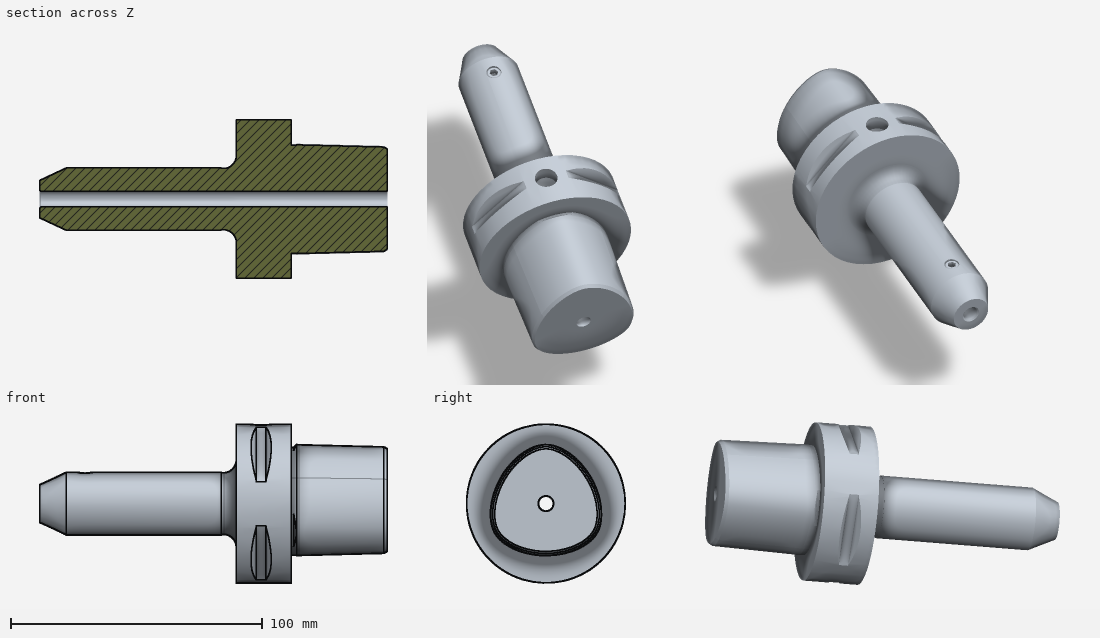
import cadquery as cq
import math

total_length = 138.0
nose_length = 10.6
relief_start = 72.0
shank_end = 78.0
flange_end = 99.9
neck_end = 102.0
taper_start = 102.8

nose_diameter = 15.0
shank_diameter = 25.0
relief_diameter = 24.5
flange_diameter = 63.0
flange_fillet = 5.0

bore_diameter = 6.0
bore_chamfer = 0.5

lobe_count = 3
polygon_radius = 22.1
lobe_height = 1.4
neck_allowance = 0.1
lead_drop = 0.07
taper_per_length = 1 / 40
end_chamfer_length = 1.4
end_chamfer_height = 0.8
lobe_trim_radius = 22.4
lobe_trim_length = 1.0

slot_x = 87.9
slot_count = 4
slot_floor_radius = 27.6
slot_floor_width = 3.7
slot_step_height = 0.5
slot_step_width = 4.1
slot_wall_angle = 30.0

rim_hole_diameter = 9.0
rim_hole_depth = 6.0
rim_hole_point_angle = 118.0

screw_x = 18.0
screw_diameter = 6.0
screw_chamfer = 0.5
screw_recess = 0.4
socket_width = 3.0
socket_depth = 2.5
socket_point_angle = 120.0


def turned_body():
    """Nose cone, shank, relief, fillet and flange, turned about the X axis."""
    shank_radius = shank_diameter / 2
    relief_radius = relief_diameter / 2
    fillet_start = shank_end - flange_fillet
    fillet_diagonal = flange_fillet * math.sqrt(0.5)
    fillet_middle = (
        fillet_start + fillet_diagonal,
        relief_radius + flange_fillet - fillet_diagonal,
    )
    profile = (
        cq.Workplane("XY")
        .moveTo(0, 0)
        .lineTo(0, nose_diameter / 2)
        .lineTo(nose_length, shank_radius)
        .lineTo(relief_start, shank_radius)
        .lineTo(relief_start, relief_radius)
        .lineTo(fillet_start, relief_radius)
        .threePointArc(fillet_middle, (shank_end, relief_radius + flange_fillet))
        .lineTo(shank_end, flange_diameter / 2)
        .lineTo(flange_end, flange_diameter / 2)
        .lineTo(flange_end, 0)
        .close()
    )
    return profile.revolve(360, (0, 0, 0), (1, 0, 0))


def polygon_wire(x, mean_radius):
    """Closed three-lobed outline in the plane at x, one curve per lobe."""

    def outline_point(angle):
        lobe_angle = lobe_count * (angle - math.pi / 2)
        support = mean_radius + lobe_height * math.cos(lobe_angle)
        slope = -lobe_count * lobe_height * math.sin(lobe_angle)
        y = support * math.cos(angle) - slope * math.sin(angle)
        z = support * math.sin(angle) + slope * math.cos(angle)
        return (y, z)

    lobe_span = 2 * math.pi / lobe_count
    outline = cq.Workplane("YZ", origin=(x, 0, 0))
    for lobe in range(lobe_count):
        start = math.pi / 2 + (lobe - 0.5) * lobe_span
        outline = outline.parametricCurve(
            outline_point, start=start, stop=start + lobe_span, makeWire=False
        )
    return outline.wire().val()


def polygon_section(x_start, radius_start, x_end, radius_end):
    """Three-lobed solid with straight sides between two outlines."""
    wires = [polygon_wire(x_start, radius_start), polygon_wire(x_end, radius_end)]
    return cq.Workplane(cq.Solid.makeLoft(wires, True))


def neck():
    """Short three-lobed neck whose lobes are turned down next to the flange."""
    neck_radius = polygon_radius - neck_allowance
    prism = polygon_section(flange_end, neck_radius, neck_end, neck_radius)
    corner = polygon_radius + 2 * lobe_height
    trim_end = flange_end + lobe_trim_length
    ramp_end = trim_end + corner - lobe_trim_radius
    trim = (
        cq.Workplane("XY")
        .moveTo(flange_end, lobe_trim_radius)
        .lineTo(trim_end, lobe_trim_radius)
        .lineTo(ramp_end, corner)
        .lineTo(flange_end, corner)
        .close()
        .revolve(360, (0, 0, 0), (1, 0, 0))
    )
    return prism.cut(trim)


def tapered_shank():
    """Three-lobed taper with a short steeper lead and a bevelled free end."""
    seat_radius = polygon_radius - lead_drop
    bevel_start = total_length - end_chamfer_length
    end_radius = seat_radius - taper_per_length * (bevel_start - taper_start)
    lead = polygon_section(neck_end, polygon_radius, taper_start, seat_radius)
    taper = polygon_section(taper_start, seat_radius, bevel_start, end_radius)
    bevel = polygon_section(
        bevel_start, end_radius, total_length, end_radius - end_chamfer_height
    )
    return lead.union(taper).union(bevel)


def through_bore():
    """Bore along the whole axis, chamfered at the nose."""
    radius = bore_diameter / 2
    return (
        cq.Workplane("XY")
        .moveTo(0, 0)
        .lineTo(0, radius + bore_chamfer)
        .lineTo(bore_chamfer, radius)
        .lineTo(total_length, radius)
        .lineTo(total_length, 0)
        .close()
        .revolve(360, (0, 0, 0), (1, 0, 0))
    )


def gripper_slots():
    """Straight slots across the rim on its diagonals, steep at the floor, then flared."""
    flange_radius = flange_diameter / 2
    step_radius = slot_floor_radius + slot_step_height
    half_floor = slot_floor_width / 2
    half_step = slot_step_width / 2
    flare = (flange_radius - step_radius) * math.tan(math.radians(slot_wall_angle))
    half_mouth = half_step + flare
    cutter = (
        cq.Workplane("XZ")
        .moveTo(slot_x - half_floor, slot_floor_radius)
        .lineTo(slot_x + half_floor, slot_floor_radius)
        .lineTo(slot_x + half_step, step_radius)
        .lineTo(slot_x + half_mouth, flange_radius)
        .lineTo(slot_x - half_mouth, flange_radius)
        .lineTo(slot_x - half_step, step_radius)
        .close()
        .extrude(flange_radius, both=True)
    )
    spacing = 360 / slot_count
    slots = cq.Workplane("XY")
    for index in range(slot_count):
        angle = (index + 0.5) * spacing
        slots = slots.add(cutter.rotate((0, 0, 0), (1, 0, 0), angle))
    return slots.combine()


def drilled_hole(x, diameter, top, shoulder, point_angle):
    """Vertical drilled hole with a conical bottom below its shoulder height."""
    radius = diameter / 2
    point = shoulder - radius / math.tan(math.radians(point_angle / 2))
    return (
        cq.Workplane("XZ", origin=(x, 0, 0))
        .moveTo(0, top)
        .lineTo(radius, top)
        .lineTo(radius, shoulder)
        .lineTo(0, point)
        .close()
        .revolve(360, (0, 0, 0), (0, 1, 0))
    )


def rim_hole():
    """Blind hole in the top of the flange rim."""
    top = flange_diameter / 2
    return drilled_hole(
        slot_x, rim_hole_diameter, top, top - rim_hole_depth, rim_hole_point_angle
    )


def set_screw():
    """Space around a sunk set screw: recess, chamfered rim and hex socket."""
    top = shank_diameter / 2
    screw_top = top - screw_recess
    radius = screw_diameter / 2
    rim = (
        cq.Workplane("XZ", origin=(screw_x, 0, 0))
        .moveTo(0, top)
        .lineTo(radius, top)
        .lineTo(radius, screw_top - screw_chamfer)
        .lineTo(radius - screw_chamfer, screw_top)
        .lineTo(0, screw_top)
        .close()
        .revolve(360, (0, 0, 0), (0, 1, 0))
    )
    socket_bottom = screw_top - socket_depth
    across_corners = socket_width / math.cos(math.pi / 6)
    hexagon = (
        cq.Workplane("XY", origin=(screw_x, 0, socket_bottom))
        .transformed(rotate=(0, 0, 90))
        .polygon(6, across_corners)
        .extrude(socket_depth)
    )
    point = drilled_hole(
        screw_x, socket_width, screw_top, socket_bottom, socket_point_angle
    )
    return rim.union(hexagon).union(point)


result = (
    turned_body()
    .union(neck())
    .union(tapered_shank())
    .cut(through_bore())
    .cut(gripper_slots())
    .cut(rim_hole())
    .cut(set_screw())
)